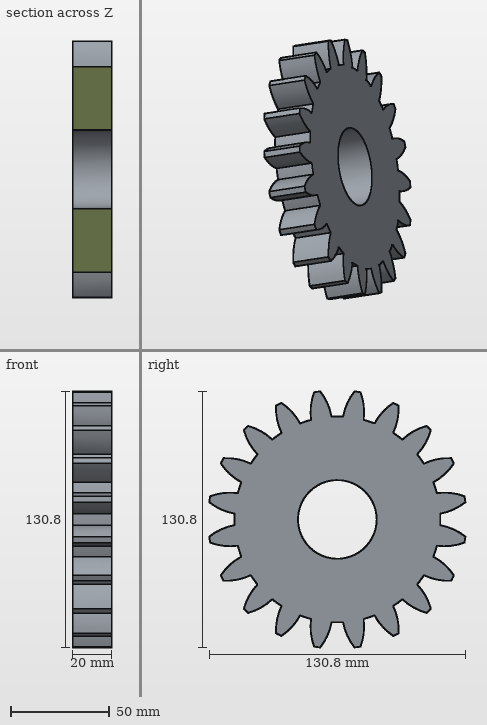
import cadquery as cq
import math

tooth_count = 20
face_width = 20.0
bore_diameter = 40.0
root_radius = 52.6
overall_size = 130.8

root_half_thickness = 5.4
flank_half_thickness = 4.3
tip_half_thickness = 1.6
flank_radius = 59.5

tooth_pitch = 360 / tooth_count

half_pitch = math.radians(tooth_pitch / 2)
tip_height = (overall_size / 2 - tip_half_thickness * math.sin(half_pitch)) / math.cos(half_pitch)
tip_radius = math.hypot(tip_height, tip_half_thickness)
root_overlap = 1.3


def height_on_circle(radius, half_thickness):
    """Distance along the tooth axis to a point on a circle about the gear centre."""
    return math.sqrt(radius**2 - half_thickness**2)


def make_tooth():
    """One tooth centred on +Y of the YZ plane, with convex arc flanks."""
    root_height = height_on_circle(root_radius, root_half_thickness)
    flank_height = height_on_circle(flank_radius, flank_half_thickness)
    base_height = root_height - root_overlap
    return (
        cq.Workplane("YZ")
        .moveTo(base_height, -root_half_thickness)
        .lineTo(root_height, -root_half_thickness)
        .threePointArc((flank_height, -flank_half_thickness), (tip_height, -tip_half_thickness))
        .threePointArc((tip_radius, 0), (tip_height, tip_half_thickness))
        .threePointArc((flank_height, flank_half_thickness), (root_height, root_half_thickness))
        .lineTo(base_height, root_half_thickness)
        .close()
        .extrude(face_width / 2, both=True)
    )


gear = cq.Workplane("YZ").circle(root_radius).extrude(face_width / 2, both=True)

tooth = make_tooth()
for index in range(tooth_count):
    angle = (index + 0.5) * tooth_pitch
    gear = gear.union(tooth.rotate((0, 0, 0), (1, 0, 0), angle))

bore = cq.Workplane("YZ").circle(bore_diameter / 2).extrude(face_width / 2, both=True)
result = gear.cut(bore)